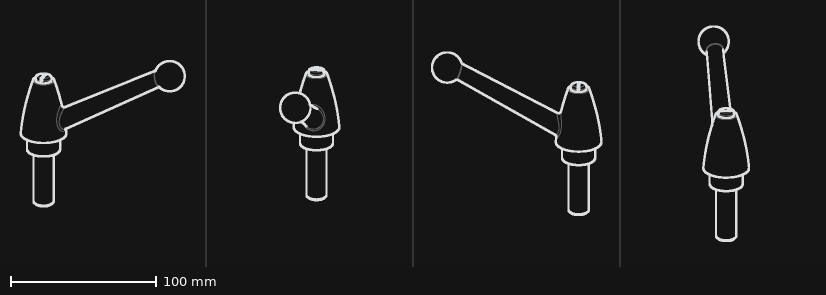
import cadquery as cq
import math

stud_diameter = 14.0
stud_chamfer = 1.4
collar_diameter = 23.0
collar_bottom = 40.0
collar_chamfer = 0.6

hub_bottom = 52.3
hub_rim_height = 0.7
hub_top = 92.9
hub_diameter = 31.6
hub_top_diameter = 14.6
hub_bulge_radius = 12.4
hub_bulge_z = 74.8
hub_bottom_chamfer = 0.4
hub_top_fillet = 0.5

screw_diameter = 11.0
screw_top = 95.9
screw_rounding = 1.4
slot_width = 1.2
slot_depth = 1.4

overall_length = 116.8
overall_height = 118.0
ball_radius = 10.5
ball_x = overall_length - hub_diameter / 2 - ball_radius
ball_z = overall_height - ball_radius

arm_angle = 30.0
arm_offset = 1.8
arm_length = 99.1
arm_start_diameter = 14.6
arm_end_diameter = 11.1
arm_root_fillet = 1.8
arm_tip_fillet = 0.6


def make_stud():
    """Chamfered stud running up into the collar."""
    stud = cq.Workplane("XY").circle(stud_diameter / 2).extrude(hub_bottom)
    return stud.faces("<Z").chamfer(stud_chamfer)


def make_collar():
    """Plain collar under the hub."""
    collar = cq.Workplane("XY").workplane(offset=collar_bottom)
    collar = collar.circle(collar_diameter / 2).extrude(hub_bottom - collar_bottom)
    return collar.faces("<Z").chamfer(collar_chamfer)


def make_hub():
    """Revolved hub with a bulging side and a short cylindrical rim."""
    rim_top = hub_bottom + hub_rim_height
    profile = (
        cq.Workplane("XZ")
        .moveTo(0, hub_bottom)
        .lineTo(hub_diameter / 2, hub_bottom)
        .lineTo(hub_diameter / 2, rim_top)
        .threePointArc((hub_bulge_radius, hub_bulge_z), (hub_top_diameter / 2, hub_top))
        .lineTo(0, hub_top)
        .close()
    )
    hub = profile.revolve(360, (0, 0, 0), (0, 1, 0))
    hub = hub.faces(">Z").edges().fillet(hub_top_fillet)
    return hub.faces("<Z").chamfer(hub_bottom_chamfer)


def make_screw_head():
    """Rounded screw head with a driver slot along Y."""
    head = cq.Workplane("XY").workplane(offset=hub_top)
    head = head.circle(screw_diameter / 2).extrude(screw_top - hub_top)
    head = head.faces(">Z").edges().fillet(screw_rounding)
    slot = cq.Workplane("XY").box(slot_width, screw_diameter, slot_depth, centered=(True, True, False))
    return head.cut(slot.translate((0, 0, screw_top - slot_depth)))


def make_arm():
    """Tapered round arm ending inside the ball and starting inside the hub."""
    angle = math.radians(arm_angle)
    direction = cq.Vector(math.cos(angle), 0, math.sin(angle))
    upward = cq.Vector(-math.sin(angle), 0, math.cos(angle))
    end = cq.Vector(ball_x, 0, ball_z) + upward * arm_offset
    start = end - direction * arm_length
    cone = cq.Solid.makeCone(arm_start_diameter / 2, arm_end_diameter / 2, arm_length, start, direction)
    return cq.Workplane(cone)


def blend(body, tool, radius):
    """Join two bodies and round the edges where their surfaces meet."""
    joined = body.union(tool)
    old_centers = [edge.Center() for part in (body, tool) for edge in part.edges().vals()]
    new_edges = [
        edge
        for edge in joined.edges().vals()
        if all((edge.Center() - center).Length > radius for center in old_centers)
    ]
    return joined.newObject(new_edges).fillet(radius)


ball = cq.Workplane("XY").sphere(ball_radius).translate((ball_x, 0, ball_z))

result = blend(make_hub(), make_arm(), arm_root_fillet)
result = blend(result, ball, arm_tip_fillet)
result = result.union(make_collar()).union(make_stud()).union(make_screw_head())